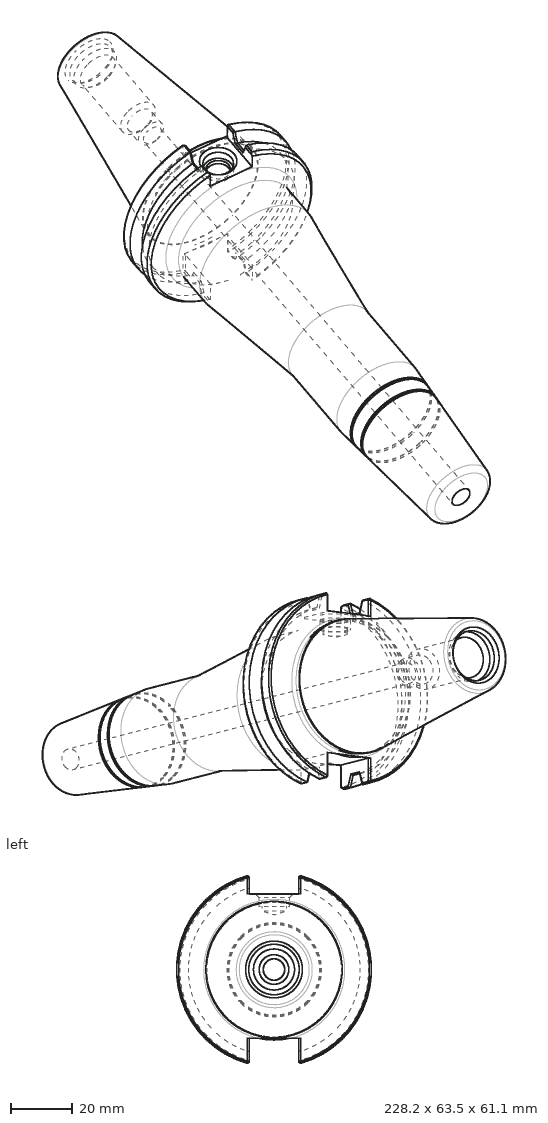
import cadquery as cq
import math


gauge_radius = 44.45 / 2
taper_length = 68.25
taper_ratio = 7 / 24
rear_radius = gauge_radius - taper_length * taper_ratio / 2
rear_fillet = 1.0
rear_x = -taper_length

neck_radius = 43.94 / 2
flange_radius = 63.5 / 2
flange_start_x = 3.18
flange_end_x = 19.05
neck_fillet = 1.0
flange_rear_chamfer = 0.6
flange_front_chamfer = 1.0
groove_x = 11.1
groove_depth = 3.75
groove_floor_half = 3.9 / 2
groove_mouth_half = 7.0 / 2
groove_floor_radius = flange_radius - groove_depth

flange_fillet = 3.0
body_radius = gauge_radius
body_end_x = 35.0
nose_radius = 32 / 2
nose_start_x = 79.5
nose_end_x = 160.0
tip_radius = 24 / 2
nose_cone_angle = 4.5
nose_cone_slope = math.tan(math.radians(nose_cone_angle))
nose_cone_x = nose_end_x - (nose_radius - tip_radius) / nose_cone_slope
tip_fillet = 2.0

ring_positions = (117.1, 122.8)
ring_width = 0.8
ring_depth = 0.15

entry_radius = 18.5 / 2
pilot_radius = 16.46 / 2
thread_radius = 13.39 / 2
channel_radius = 9.65 / 2
through_radius = 6.92 / 2
entry_depth = 1.3
pilot_depth = 3.8
thread_depth = 30.0
channel_depth = 38.0
drill_point_slope = math.tan(math.radians(59))

slot_width = 16.1
slot_edge_chamfer = 0.6
slot_end_x = flange_end_x + flange_fillet
top_slot_floor = 24.6
bottom_slot_floor = 22.4
plane_tolerance = 1e-4

pocket_mouth_radius = 12.2 / 2
pocket_step_radius = 9.98 / 2
pocket_core_radius = 8 / 2
pocket_step_depth = 4.0
pocket_core_depth = 5.5
pocket_cone_depth = 1.2


def revolve_about_x(profile):
    """Close a half-profile and turn it about the X axis."""
    return profile.close().revolve(360, (0, 0, 0), (1, 0, 0))


def make_outer_body():
    """Turn the complete outside: taper, flange, body and nose."""
    profile = (
        cq.Workplane("XY")
        .moveTo(rear_x, 0)
        .lineTo(rear_x, rear_radius)
        .lineTo(0, gauge_radius)
        .lineTo(0, neck_radius)
        .lineTo(flange_start_x - neck_fillet, neck_radius)
        .radiusArc((flange_start_x, neck_radius + neck_fillet), -neck_fillet)
        .lineTo(flange_start_x, flange_radius - flange_rear_chamfer)
        .lineTo(flange_start_x + flange_rear_chamfer, flange_radius)
        .lineTo(groove_x - groove_mouth_half, flange_radius)
        .lineTo(groove_x - groove_floor_half, groove_floor_radius)
        .lineTo(groove_x + groove_floor_half, groove_floor_radius)
        .lineTo(groove_x + groove_mouth_half, flange_radius)
        .lineTo(flange_end_x - flange_front_chamfer, flange_radius)
        .lineTo(flange_end_x, flange_radius - flange_front_chamfer)
        .lineTo(flange_end_x, body_radius + flange_fillet)
        .radiusArc((flange_end_x + flange_fillet, body_radius), -flange_fillet)
        .lineTo(body_end_x, body_radius)
        .lineTo(nose_start_x, nose_radius)
        .lineTo(nose_cone_x, nose_radius)
        .lineTo(nose_end_x, tip_radius)
        .lineTo(nose_end_x, 0)
    )
    body = revolve_about_x(profile)
    body = body.faces("<X").edges().fillet(rear_fillet)
    return body.faces(">X").edges().fillet(tip_fillet)


def make_bore():
    """Turn the stepped bore that runs through the whole part."""
    pilot_x = rear_x + pilot_depth
    thread_x = rear_x + thread_depth
    channel_x = rear_x + channel_depth
    profile = (
        cq.Workplane("XY")
        .moveTo(rear_x, 0)
        .lineTo(rear_x, entry_radius)
        .lineTo(rear_x + entry_depth, pilot_radius)
        .lineTo(pilot_x, pilot_radius)
        .lineTo(pilot_x + pilot_radius - thread_radius, thread_radius)
        .lineTo(thread_x, thread_radius)
        .lineTo(thread_x + (thread_radius - channel_radius) / drill_point_slope, channel_radius)
        .lineTo(channel_x, channel_radius)
        .lineTo(channel_x + (channel_radius - through_radius) / drill_point_slope, through_radius)
        .lineTo(nose_end_x, through_radius)
        .lineTo(nose_end_x, 0)
    )
    return revolve_about_x(profile)


def make_marking_ring(ring_x):
    """Shallow ring groove, square to the axis, in the nose cone."""
    surface_radius = tip_radius + (nose_end_x - ring_x) * nose_cone_slope
    ring = cq.Workplane("YZ", origin=(ring_x - ring_width / 2, 0, 0))
    return ring.circle(nose_radius).circle(surface_radius - ring_depth).extrude(ring_width)


def outer_wall_edges(part, wall_y, floor_height, direction):
    """Edges that border a slot wall on the flange, without the floor edge and the front face edge."""
    found = []
    for edge in part.edges().vals():
        box = edge.BoundingBox()
        in_wall = max(abs(box.ymin - wall_y), abs(box.ymax - wall_y)) < plane_tolerance
        above_floor = edge.Center().z * direction > floor_height + plane_tolerance
        behind_front_face = box.xmax < flange_end_x - plane_tolerance
        if in_wall and above_floor and behind_front_face:
            found.append(edge)
    return found


def cut_slot(part, floor_height, direction):
    """Cut a drive slot above (direction 1) or below (direction -1) the axis and chamfer its edges."""
    length = slot_end_x - flange_start_x
    height = flange_radius - floor_height
    center_x = flange_start_x + length / 2
    center_z = direction * (floor_height + height / 2)
    slot = cq.Workplane("XY", origin=(center_x, 0, center_z)).box(length, slot_width, height)
    part = part.cut(slot)
    for side in (-1, 1):
        edges = outer_wall_edges(part, side * slot_width / 2, floor_height, direction)
        part = part.newObject(edges).chamfer(slot_edge_chamfer)
    return part


def make_pocket():
    """Turn the countersunk blind hole of the top slot, with a shallow cone as its bottom."""
    profile = (
        cq.Workplane("XZ")
        .lineTo(pocket_mouth_radius, 0)
        .lineTo(pocket_step_radius, pocket_step_radius - pocket_mouth_radius)
        .lineTo(pocket_step_radius, -pocket_step_depth)
        .lineTo(pocket_core_radius, -pocket_step_depth)
        .lineTo(pocket_core_radius, -pocket_core_depth)
        .lineTo(0, -pocket_core_depth - pocket_cone_depth)
        .close()
    )
    pocket = profile.revolve(360, (0, 0, 0), (0, 1, 0))
    return pocket.translate(((flange_start_x + flange_end_x) / 2, 0, top_slot_floor))


result = make_outer_body().cut(make_bore())
for ring_x in ring_positions:
    result = result.cut(make_marking_ring(ring_x))
result = cut_slot(result, top_slot_floor, 1)
result = cut_slot(result, bottom_slot_floor, -1)
result = result.cut(make_pocket())